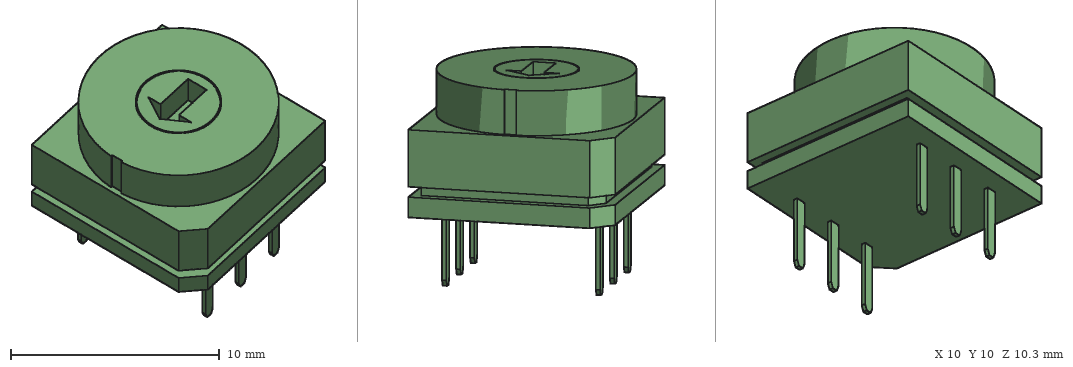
import cadquery as cq

body_side = 10.0
corner_cut = 1.0
base_height = 1.0
neck_height = 0.5
neck_inset = 0.5
block_height = 2.8

total_height = 10.3
dial_diameter = 9.6
dial_height = 2.2
notch_width = 0.61
notch_depth = 0.1

groove_outer_diameter = 4.1
groove_inner_diameter = 4.0
groove_depth = 0.1
arrow_half_length = 1.44
arrow_shoulder_y = -0.67
arrow_shaft_width = 1.13
arrow_head_width = 2.63
arrow_depth = 1.5

pin_pitch = 2.54
pins_per_row = 3
row_spacing = 3 * pin_pitch
pin_width = 0.55
pin_thickness = 0.22
pin_tip_width = 0.3
pin_tip_height = 0.3

neck_bottom = base_height
block_bottom = neck_bottom + neck_height
block_top = block_bottom + block_height
dial_top = block_top + dial_height
pin_length = total_height - dial_top


def housing_outline(z):
    """Square outline at height z with the +X, -Y corner cut off."""
    half = body_side / 2
    return cq.Workplane("XY", origin=(0, 0, z)).polyline([
        (-half, -half),
        (half - corner_cut, -half),
        (half, -half + corner_cut),
        (half, half),
        (-half, half),
    ]).close()


def make_housing():
    base = housing_outline(0).extrude(base_height)
    neck = housing_outline(neck_bottom).offset2D(-neck_inset, "intersection").extrude(neck_height)
    block = housing_outline(block_bottom).extrude(block_height)
    return base.union(neck).union(block)


def make_dial():
    """Disc with an index notch in its rim on the -Y side."""
    dial = cq.Workplane("XY", origin=(0, 0, block_top)).circle(dial_diameter / 2).extrude(dial_height)
    notch = (
        cq.Workplane("XY", origin=(0, -dial_diameter / 2, block_top))
        .rect(notch_width, 2 * notch_depth)
        .extrude(dial_height)
    )
    return dial.cut(notch)


def make_ring_groove():
    return (
        cq.Workplane("XY", origin=(0, 0, dial_top))
        .circle(groove_outer_diameter / 2)
        .circle(groove_inner_diameter / 2)
        .extrude(-groove_depth)
    )


def make_arrow_recess():
    """Arrow pointing toward -Y, sunk into the dial face."""
    half_shaft = arrow_shaft_width / 2
    half_head = arrow_head_width / 2
    return (
        cq.Workplane("XY", origin=(0, 0, dial_top))
        .polyline([
            (-half_shaft, arrow_half_length),
            (half_shaft, arrow_half_length),
            (half_shaft, arrow_shoulder_y),
            (half_head, arrow_shoulder_y),
            (0, -arrow_half_length),
            (-half_head, arrow_shoulder_y),
            (-half_shaft, arrow_shoulder_y),
        ])
        .close()
        .extrude(-arrow_depth)
    )


def make_pin(x, y):
    """Flat pin hanging below the base plate, its tip narrowed across Y."""
    half_width = pin_width / 2
    half_tip = pin_tip_width / 2
    bevel_z = -pin_length + pin_tip_height
    return (
        cq.Workplane("YZ", origin=(x, y, 0))
        .polyline([
            (-half_width, 0),
            (-half_width, bevel_z),
            (-half_tip, -pin_length),
            (half_tip, -pin_length),
            (half_width, bevel_z),
            (half_width, 0),
        ])
        .close()
        .extrude(pin_thickness / 2, both=True)
    )


result = make_housing().union(make_dial()).cut(make_ring_groove()).cut(make_arrow_recess())
for row_x in (-row_spacing / 2, row_spacing / 2):
    for index in range(pins_per_row):
        pin_y = (index - (pins_per_row - 1) / 2) * pin_pitch
        result = result.union(make_pin(row_x, pin_y))